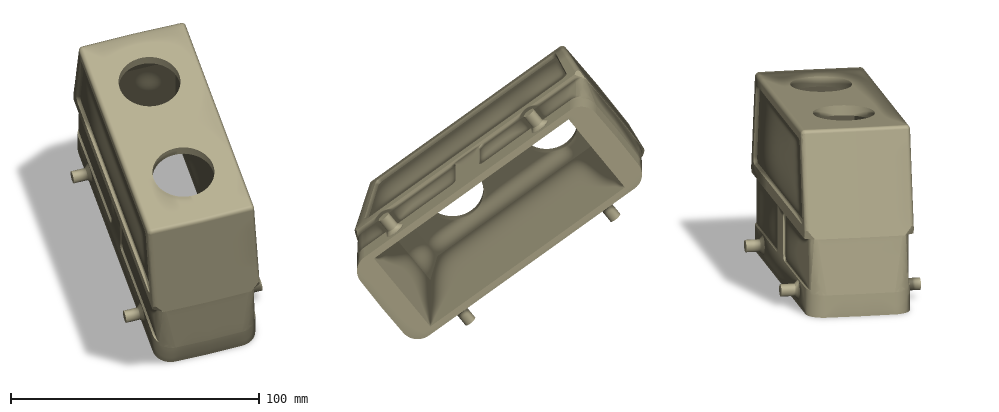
import cadquery as cq

TOP_Z = 75.5
PIN_SPAN = 57.2

FOOT_HALF_X = 60.0
BODY_HALF_Y = 21.4
FOOT_TOP_Z = 9.2
FOOT_CORNER = 7.5
SKIRT_TOP_HALF_X = 58.0
SKIRT_TOP_CORNER = 4.0
END_CROWN = 0.4

HOOD_Z = 32.2
HOOD_BASE_HALF_X = 58.2
HOOD_TOP_HALF_X = 49.5
HOOD_HALF_Y = 22.5
HOOD_FILLET = 1.7
CORNER_CUT_X = 2.5
CORNER_CUT_Y = 4.5
CORNER_CUT_Z = 4.8
CORNER_CUT_OVERRUN = 1.2

LABEL_BOTTOM_Z = 36.8
LABEL_TOP_Z = 71.0
LABEL_BOTTOM_HALF_X = 51.8
LABEL_TOP_HALF_X = 45.6
LABEL_CORNER = 2.4
LABEL_DEPTH = 1.5
LABEL_DRAFT = 25.0

RIB_HALF_X = 5.9
GRIP_BOTTOM_Z = 10.9
GRIP_CORNER = 2.4
GRIP_HALF_Y = 20.4
GRIP_FLOOR_CLEARANCE = 0.4
GRIP_BASE_HALF_X = FOOT_HALF_X + GRIP_FLOOR_CLEARANCE
GRIP_BASE_CORNER = 5.5
GRIP_TOP_HALF_X = SKIRT_TOP_HALF_X + GRIP_FLOOR_CLEARANCE
GRIP_TOP_CORNER = 3.6

CAVITY_HALF_Y = 18.6
CAVITY_HALF_X = 49.5
CAVITY_TOP_HALF_X = 45.8
CAVITY_BEND_Z = 50.6
ROOF_THICKNESS = 4.2

ENTRY_DIAMETER = 25.0
ENTRY_X = 23.9

PIN_DIAMETER = 5.0
PIN_X = 36.8
PIN_Z = 6.4
COLLAR_DIAMETER = 7.9
COLLAR_END_Y = 22.8


def crowned_outline(half_x, half_y):
    """Corner points of a rectangle whose two ends are slightly pointed."""
    side_x = half_x - END_CROWN
    return [
        (half_x, 0),
        (side_x, half_y),
        (-side_x, half_y),
        (-half_x, 0),
        (-side_x, -half_y),
        (side_x, -half_y),
    ]


def crowned_wire(half_x, half_y, z, corner=0.0):
    """The crowned outline at height z, with its four corners rounded if wanted."""
    points = [cq.Vector(x, y, z) for x, y in crowned_outline(half_x, half_y)]
    wire = cq.Wire.makePolygon(points, close=True)
    if corner:
        corners = [v for v in wire.Vertices() if abs(v.Y) > half_y - corner]
        wire = wire.fillet2D(corner, corners)
    return wire


def loft(*wires):
    return cq.Workplane(obj=cq.Solid.makeLoft(list(wires), True))


def both_sides(front):
    """A shape on one long side together with its mirror image on the other."""
    return front.union(front.mirror("XZ"))


def make_body():
    foot = crowned_wire(FOOT_HALF_X, BODY_HALF_Y, 0, FOOT_CORNER)
    foot_top = crowned_wire(FOOT_HALF_X, BODY_HALF_Y, FOOT_TOP_Z, FOOT_CORNER)
    skirt_top = crowned_wire(SKIRT_TOP_HALF_X, BODY_HALF_Y, HOOD_Z, SKIRT_TOP_CORNER)
    return loft(foot, foot_top, skirt_top)


def is_crown_line(edge):
    """True for the line at mid width where the two halves of an end face meet."""
    return all(abs(vertex.Y) < HOOD_FILLET for vertex in edge.Vertices())


def make_hood_corner_cuts():
    """Slanted cuts that take off the four bottom corners of the hood."""
    corner_x = HOOD_BASE_HALF_X - END_CROWN
    slope = (HOOD_BASE_HALF_X - HOOD_TOP_HALF_X) / (TOP_Z - HOOD_Z)
    on_side = cq.Vector(corner_x - CORNER_CUT_X, HOOD_HALF_Y, HOOD_Z)
    on_end = cq.Vector(corner_x, HOOD_HALF_Y - CORNER_CUT_Y, HOOD_Z)
    above = cq.Vector(corner_x - slope * CORNER_CUT_Z, HOOD_HALF_Y, HOOD_Z + CORNER_CUT_Z)
    outside = cq.Vector(
        corner_x + CORNER_CUT_OVERRUN,
        HOOD_HALF_Y + CORNER_CUT_OVERRUN,
        HOOD_Z - CORNER_CUT_OVERRUN,
    )
    corners = [on_side, on_end, above, outside]
    faces = []
    for skipped in corners:
        triangle = [point for point in corners if point is not skipped]
        faces.append(cq.Face.makeFromWires(cq.Wire.makePolygon(triangle, close=True)))
    cut = cq.Workplane(obj=cq.Solid.makeSolid(cq.Shell.makeShell(faces)))
    pair = cut.union(cut.mirror("YZ"))
    return both_sides(pair)


def make_hood():
    base = crowned_wire(HOOD_BASE_HALF_X, HOOD_HALF_Y, HOOD_Z)
    top = crowned_wire(HOOD_TOP_HALF_X, HOOD_HALF_Y, TOP_Z)
    hood = loft(base, top)
    rounded_edges = [
        edge for edge in hood.edges().vals()
        if edge.Center().z > HOOD_Z + HOOD_FILLET and not is_crown_line(edge)
    ]
    return hood.newObject(rounded_edges).fillet(HOOD_FILLET).cut(make_hood_corner_cuts())


def make_label_recess():
    outline = (
        cq.Sketch()
        .polygon([
            (-LABEL_BOTTOM_HALF_X, LABEL_BOTTOM_Z),
            (LABEL_BOTTOM_HALF_X, LABEL_BOTTOM_Z),
            (LABEL_TOP_HALF_X, LABEL_TOP_Z),
            (-LABEL_TOP_HALF_X, LABEL_TOP_Z),
            (-LABEL_BOTTOM_HALF_X, LABEL_BOTTOM_Z),
        ])
        .vertices()
        .fillet(LABEL_CORNER)
    )
    front = (
        cq.Workplane("XZ", origin=(0, -HOOD_HALF_Y, 0))
        .placeSketch(outline)
        .extrude(-LABEL_DEPTH, taper=LABEL_DRAFT)
    )
    return both_sides(front)


def make_grip_recesses():
    height = HOOD_Z - GRIP_BOTTOM_Z
    length = FOOT_HALF_X - RIB_HALF_X
    slab = (
        cq.Workplane("XY")
        .box(length, 2 * HOOD_HALF_Y, height, centered=(False, True, False))
        .edges("|Y and <X")
        .fillet(GRIP_CORNER)
        .translate((RIB_HALF_X, 0, GRIP_BOTTOM_Z))
    )
    core = loft(
        crowned_wire(GRIP_BASE_HALF_X, GRIP_HALF_Y, GRIP_BOTTOM_Z, GRIP_BASE_CORNER),
        crowned_wire(GRIP_TOP_HALF_X, GRIP_HALF_Y, HOOD_Z, GRIP_TOP_CORNER),
    )
    right = slab.cut(core)
    return right.union(right.mirror("YZ"))


def make_cavity():
    ceiling_z = TOP_Z - ROOF_THICKNESS
    return (
        cq.Workplane("XZ")
        .polyline([
            (-CAVITY_HALF_X, 0),
            (CAVITY_HALF_X, 0),
            (CAVITY_HALF_X, CAVITY_BEND_Z),
            (CAVITY_TOP_HALF_X, ceiling_z),
            (-CAVITY_TOP_HALF_X, ceiling_z),
            (-CAVITY_HALF_X, CAVITY_BEND_Z),
        ])
        .close()
        .extrude(CAVITY_HALF_Y, both=True)
    )


def make_entries():
    return (
        cq.Workplane("XY", origin=(0, 0, TOP_Z))
        .pushPoints([(-ENTRY_X, 0), (ENTRY_X, 0)])
        .circle(ENTRY_DIAMETER / 2)
        .extrude(-2 * ROOF_THICKNESS)
    )


def make_pins():
    """Pin with its conical collar, revolved about its own axis and rooted in the wall."""
    profile = [
        (0, CAVITY_HALF_Y),
        (COLLAR_DIAMETER / 2, CAVITY_HALF_Y),
        (COLLAR_DIAMETER / 2, BODY_HALF_Y),
        (PIN_DIAMETER / 2, COLLAR_END_Y),
        (PIN_DIAMETER / 2, PIN_SPAN / 2),
        (0, PIN_SPAN / 2),
    ]
    pin = cq.Workplane("XY").polyline(profile).close().revolve(360, (0, 0, 0), (0, 1, 0))
    pins = cq.Workplane("XY")
    for x in (-PIN_X, PIN_X):
        pins = pins.add(pin.translate((x, 0, PIN_Z)))
    return both_sides(pins.combine())


result = (
    make_body()
    .cut(make_grip_recesses())
    .union(make_hood())
    .cut(make_label_recess())
    .cut(make_cavity())
    .cut(make_entries())
    .union(make_pins())
)